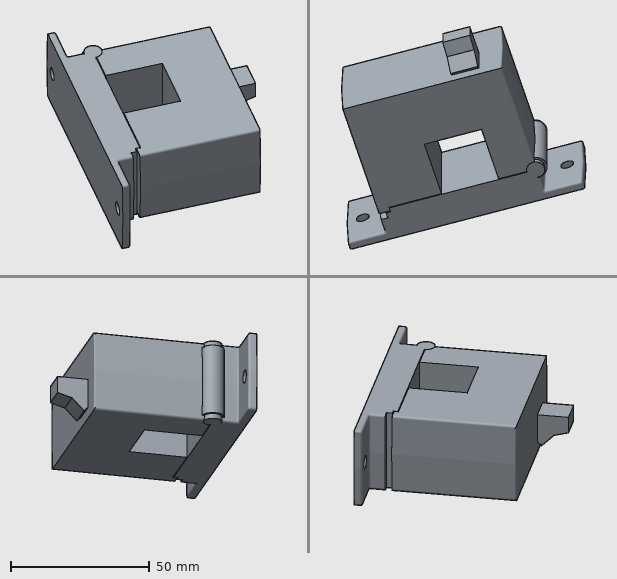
import cadquery as cq
import math

height = 30.2
half_height = height / 2
draft_angle = 1.9
rim_radius = 0.9
corner_radius = 0.49
inner_corner_radius = 0.6

plate_half_length = 44.85
plate_thickness = 3.05
block_half_width = 30.6
block_back = 12.65
screw_hole_diameter = 4.75
screw_hole_offset = 38.7

ledge_left = 25.7
ledge_back = 10.9
notch_left = 27.45
notch_floor = 8.8
parting_gap = 0.3
lip_gap = 0.4

housing_back = 57.1
housing_front = block_back + parting_gap
lip_front = ledge_back + lip_gap
window_left = -15.7
window_width = 21.6
window_back = 34.5

hinge_x = -29.6
hinge_y = block_back
barrel_radius = 4.1
barrel_half_length = 13.2
barrel_clearance = 0.2
ear_radius = 3.3
ear_height = half_height - barrel_half_length

latch_left = -21.5
latch_width = 10.2
latch_back = 68.6
latch_back_depth = 6.3
latch_knee_y = 63.2
latch_knee_depth = 7.8
latch_tip_y = 58.7
latch_tip_depth = 12.4

draft_inset = half_height * math.tan(math.radians(draft_angle))


def block(x_min, x_max, y_min, y_max, z_min, z_max):
    """Rectangular block between the given limits."""
    return (
        cq.Workplane("XY")
        .box(x_max - x_min, y_max - y_min, z_max - z_min, centered=False)
        .translate((x_min, y_min, z_min))
    )


def drafted_half(half_width, y_min, y_max):
    """Upper half of a bar along Y whose two side walls lean inwards towards the top."""
    top_half_width = half_width - draft_inset
    section = [
        (-half_width, 0),
        (half_width, 0),
        (top_half_width, half_height),
        (-top_half_width, half_height),
    ]
    return (
        cq.Workplane("XZ", origin=(0, y_min, 0))
        .polyline(section)
        .close()
        .extrude(y_min - y_max)
    )


def mirrored_whole(upper_half):
    """Upper half joined to its mirror image below the mid-plane."""
    return upper_half.union(upper_half.mirror("XY"))


def hinge_cylinder(radius, z_min, height):
    """Cylinder on the hinge axis, rising from z_min."""
    return cq.Workplane("XY", origin=(hinge_x, hinge_y, z_min)).circle(radius).extrude(height)


def hinge_ears():
    """Discs at both ends of the hinge, flush with the top and bottom faces."""
    upper = hinge_cylinder(ear_radius, barrel_half_length, ear_height)
    lower = hinge_cylinder(ear_radius, -half_height, ear_height)
    return upper.union(lower)


def upright_edges(upper_half, half_width, y):
    """Both leaning edges at the given y of a bar with the given half width at the mid-plane."""
    middle_x = half_width - draft_inset / 2
    left = cq.selectors.NearestToPointSelector((-middle_x, y, half_height / 2))
    right = cq.selectors.NearestToPointSelector((middle_x, y, half_height / 2))
    return upper_half.edges(left + right)


def base_upper_half():
    """Plate and block with rounded corners and a rounded rim, open faces left sharp."""
    plate = drafted_half(plate_half_length, 0, plate_thickness)
    upper = plate.union(drafted_half(block_half_width, 0, block_back))
    upper = upright_edges(upper, block_half_width, plate_thickness).fillet(inner_corner_radius)
    upper = upright_edges(upper, plate_half_length, plate_thickness).fillet(rim_radius)
    rim = upper.faces(">Z").edges("not(<Y or >Y)")
    return rim.fillet(rim_radius)


def make_base():
    """Mounting plate and block, stepped at the opening side, with the two hinge ears."""
    base = mirrored_whole(base_upper_half())
    base = base.cut(block(ledge_left, block_half_width, ledge_back, block_back, -half_height, half_height))
    base = base.cut(block(notch_left, block_half_width, notch_floor, block_back, -half_height, half_height))
    barrel_recess = hinge_cylinder(
        barrel_radius + barrel_clearance, -barrel_half_length, 2 * barrel_half_length
    )
    base = base.cut(barrel_recess).union(hinge_ears())
    screw_holes = (
        cq.Workplane("XZ")
        .pushPoints([(-screw_hole_offset, 0), (screw_hole_offset, 0)])
        .circle(screw_hole_diameter / 2)
        .extrude(-plate_thickness)
    )
    return base.cut(screw_holes)


def housing_upper_half():
    """Block with rounded upright back corners and side rims rounded straight through to the back."""
    upper = drafted_half(block_half_width, lip_front, housing_back)
    rounded_rims = upper.faces(">Z").edges("|Y").fillet(rim_radius)
    rounded_corners = upright_edges(upper, block_half_width, housing_back).fillet(corner_radius)
    return rounded_corners.intersect(rounded_rims)


def make_housing():
    """Block with an open window, a lip at the opening side and the hinge barrel."""
    housing = mirrored_whole(housing_upper_half())
    lip_trim = block(
        -block_half_width, ledge_left, lip_front, housing_front, -half_height, half_height
    )
    window = block(
        window_left, window_left + window_width, housing_front, window_back, -half_height, half_height
    )
    barrel = hinge_cylinder(barrel_radius, -barrel_half_length, 2 * barrel_half_length)
    return housing.cut(lip_trim).cut(window).cut(hinge_ears()).union(barrel)


def make_latch():
    """Hook against the back of the housing; its tip returns to the housing at 45 degrees."""
    root_depth = latch_tip_depth - (latch_tip_y - housing_back)
    profile = [
        (housing_back, 0),
        (latch_back, 0),
        (latch_back, -latch_back_depth),
        (latch_knee_y, -latch_knee_depth),
        (latch_tip_y, -latch_tip_depth),
        (housing_back, -root_depth),
    ]
    return (
        cq.Workplane("YZ", origin=(latch_left, 0, 0)).polyline(profile).close().extrude(latch_width)
    )


base = make_base()
housing = make_housing()
latch = make_latch()
result = cq.Compound.makeCompound([base.solids().val(), housing.solids().val(), latch.val()])